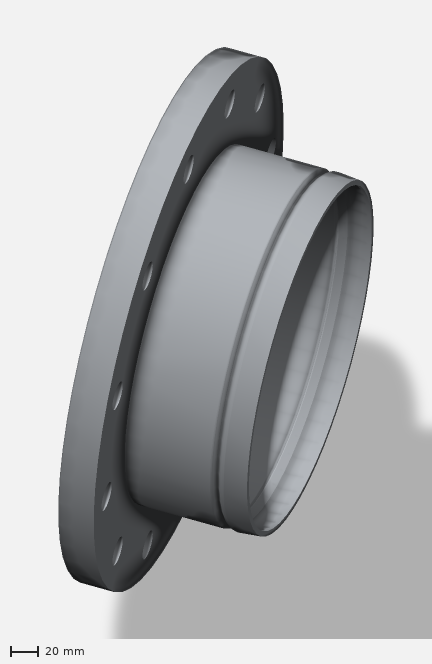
import cadquery as cq

flange_diameter = 405.0
flange_front = 5.0
flange_back = 32.8
flange_chamfer = 1.2
face_diameter = 324.0

bolt_count = 12
bolt_diameter = 22.0
bolt_circle_diameter = 350.0

total_length = 127.0
pipe_radius = 273.0 / 2
wall = 4.0
end_drop = 1.5

groove_depth = 4.0
groove_start = 98.8
groove_bottom = 103.5
groove_end = 109.7
corner_length = 1.2
lip_drop = 0.5
floor_drop = 1.0
shoulder_length = 3.5
shoulder_drop = 1.5

bead_start_lead = 1.5
bead_bottom_lead = 1.2
bead_end_lag = 2.5


def arc_radius(length, drop):
    """Radius of an arc that leaves an axial line and falls by drop over an axial length."""
    return (length**2 + drop**2) / (2 * drop)


def trace_pipe_wall(sketch, radius, start, bottom, end):
    """Continue the sketch along a pipe surface with its groove, then down to the axis and close it."""
    lip_radius = arc_radius(corner_length, lip_drop)
    floor_radius = arc_radius(corner_length, floor_drop)
    shoulder_radius = arc_radius(shoulder_length, shoulder_drop)
    bottom_radius = radius - groove_depth
    return (
        sketch.lineTo(start, radius)
        .radiusArc((start + corner_length, radius - lip_drop), lip_radius)
        .lineTo(bottom - corner_length, bottom_radius + floor_drop)
        .radiusArc((bottom, bottom_radius), -floor_radius)
        .lineTo(end - shoulder_length, radius - shoulder_drop)
        .radiusArc((end, radius), shoulder_radius)
        .lineTo(total_length, radius - end_drop)
        .lineTo(total_length, 0)
        .close()
    )


def revolve_about_x(sketch):
    return sketch.revolve(360, axisStart=(0, 0, 0), axisEnd=(1, 0, 0))


def make_outer_body():
    """Solid of revolution with the raised face, the flange and the grooved pipe outside."""
    flange_radius = flange_diameter / 2
    face_radius = face_diameter / 2
    sketch = (
        cq.Workplane("XY")
        .lineTo(0, face_radius)
        .lineTo(flange_front, face_radius)
        .lineTo(flange_front, flange_radius - flange_chamfer)
        .lineTo(flange_front + flange_chamfer, flange_radius)
        .lineTo(flange_back, flange_radius)
        .lineTo(flange_back, pipe_radius)
    )
    return revolve_about_x(trace_pipe_wall(sketch, pipe_radius, groove_start, groove_bottom, groove_end))


def make_bore():
    """Through bore; the rolled groove shows inside as a raised bead one wall thickness deeper."""
    bore_radius = pipe_radius - wall
    sketch = cq.Workplane("XY").lineTo(0, bore_radius)
    bead_start = groove_start - bead_start_lead
    bead_bottom = groove_bottom - bead_bottom_lead
    bead_end = groove_end + bead_end_lag
    return revolve_about_x(trace_pipe_wall(sketch, bore_radius, bead_start, bead_bottom, bead_end))


def make_bolt_holes():
    """Ring of through holes, with the first one straight above the axis."""
    return (
        cq.Workplane("YZ")
        .polarArray(bolt_circle_diameter / 2, 90, 360, bolt_count)
        .circle(bolt_diameter / 2)
        .extrude(flange_back)
    )


result = make_outer_body().cut(make_bore()).cut(make_bolt_holes())